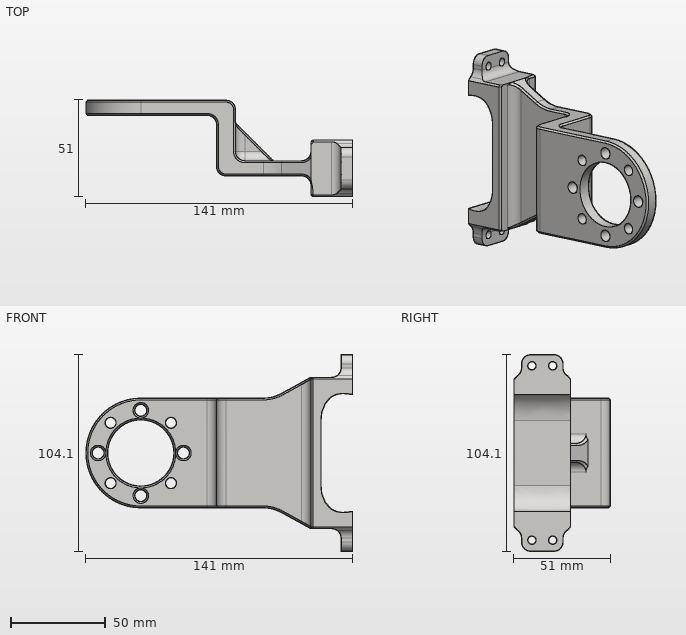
import cadquery as cq
import math


mount_radius = 29.0
plate_thickness = 8.0
web_thickness = 10.0
web_front_x = 40.0
step_depth = 32.0
bend_radius = 5.0
edge_chamfer = 1.0

flare_start_x = 70.0
flare_radius = 20.0

overall_length = 141.0
block_length = 22.0
block_depth = 30.0
block_height = 80.1

bore_radius = 17.5
bolt_circle_radius = 22.5
screw_radius = 3.1
pin_radius = 2.8

recess_depth = 16.6
recess_flat_half = 17.2
recess_shoulder_depth = 14.4
recess_shoulder_half = 26.1
recess_bend_depth = 11.3
recess_bend_half = 29.6
recess_peak_depth = 5.4
recess_peak_half = 31.5
recess_mouth_half = 30.9

ear_thickness = 6.0
ear_width = 22.0
ear_height = 12.0
ear_radius = 5.0
ear_hole_radius = 2.1
ear_hole_spacing = 11.0
ear_hole_from_tip = 5.9

gusset_leg = 20.0
gusset_width = 10.0

end_x = overall_length - mount_radius
block_x = end_x - block_length
web_back_x = web_front_x + web_thickness
lower_back_y = -step_depth
lower_front_y = lower_back_y - plate_thickness
block_mid_y = (lower_back_y + lower_front_y) / 2
block_back_y = block_mid_y + block_depth / 2
block_front_y = block_mid_y - block_depth / 2
block_half = block_height / 2


def extrude_y(outline, y_from, y_to):
    """Extrude an outline drawn in X and Z between two Y positions."""
    return outline.extrude(y_from - y_to).translate((0, y_from, 0))


def make_body():
    """Bent strap and block: the bend profile cut to the face outline, with chamfered rims."""
    bends = (
        cq.Workplane("XY")
        .polyline([
            (-mount_radius, 0), (web_back_x, 0), (web_back_x, lower_back_y), (block_x, lower_back_y),
            (block_x, block_back_y), (end_x, block_back_y), (end_x, block_front_y),
            (block_x, block_front_y), (block_x, lower_front_y), (web_front_x, lower_front_y),
            (web_front_x, -plate_thickness), (-mount_radius, -plate_thickness),
        ])
        .close()
        .extrude(block_half, both=True)
    )
    bend_corners = [
        (web_back_x, 0), (web_back_x, lower_back_y), (block_x, lower_back_y),
        (block_x, lower_front_y), (web_front_x, lower_front_y), (web_front_x, -plate_thickness),
    ]
    for x, y in bend_corners:
        bends = bends.edges(cq.NearestToPointSelector((x, y, 0))).fillet(bend_radius)
    for y in (block_back_y, block_front_y):
        bends = bends.edges(cq.NearestToPointSelector((block_x, y, 0))).chamfer(edge_chamfer)

    face = (
        cq.Workplane("XZ")
        .moveTo(0, mount_radius)
        .lineTo(flare_start_x, mount_radius)
        .lineTo(block_x, block_half)
        .lineTo(end_x, block_half)
        .lineTo(end_x, -block_half)
        .lineTo(block_x, -block_half)
        .lineTo(flare_start_x, -mount_radius)
        .lineTo(0, -mount_radius)
        .threePointArc((-mount_radius, 0), (0, mount_radius))
        .close()
    )
    outline = extrude_y(face, 0, block_front_y)
    for z in (mount_radius, -mount_radius):
        corner = cq.NearestToPointSelector((flare_start_x, block_front_y / 2, z))
        outline = outline.edges(corner).fillet(flare_radius)

    body = bends.intersect(outline)
    rims = body.edges("(not |Z) and (not |Y)")
    for z in (block_half, -block_half):
        rims = rims.add(body.edges(cq.NearestToPointSelector((block_x, block_front_y + bend_radius, z))))
    return rims.chamfer(edge_chamfer)


def make_gusset():
    """Triangular rib in the inside corner, with filleted roots and chamfered sloping edges."""
    blank = (
        cq.Workplane("XY")
        .polyline([
            (web_back_x, lower_back_y),
            (web_back_x + gusset_leg, lower_back_y),
            (web_back_x, lower_back_y + gusset_leg),
        ])
        .close()
        .extrude(gusset_width / 2 + bend_radius, both=True)
    )
    rounded_block = (
        cq.Workplane("XY")
        .box(2 * gusset_leg, 2 * gusset_leg, 2 * gusset_leg, centered=False)
        .edges("<X or <Y or <Z")
        .fillet(bend_radius)
        .translate((web_back_x, lower_back_y, gusset_width / 2))
    )
    gusset = blank.cut(rounded_block).cut(rounded_block.mirror("XY"))
    return gusset.edges(cq.ParallelDirSelector(cq.Vector(1, -1, 0))).chamfer(edge_chamfer)


def round_holes(centres, radius, chamfer):
    """Cutter for holes through the mounting plate, with chamfered front mouths if asked for."""
    cutters = cq.Workplane("XZ").pushPoints(centres).circle(radius).extrude(plate_thickness)
    if chamfer > 0:
        mouth = cq.Solid.makeCone(radius + chamfer, radius, chamfer, dir=cq.Vector(0, 1, 0))
        for x, z in centres:
            cutters = cutters.union(cq.Workplane(mouth.translate(cq.Vector(x, -plate_thickness, z))))
    return cutters


def circle_points(first_angle):
    """Four evenly spaced points on the bolt circle, starting at an angle in degrees."""
    angles = [math.radians(first_angle + 90 * step) for step in range(4)]
    return [(bolt_circle_radius * math.cos(a), bolt_circle_radius * math.sin(a)) for a in angles]


def make_recess():
    """Bowl-shaped opening through the free end of the block."""
    floor_x = end_x - recess_depth
    upper_curve = [
        (end_x - recess_shoulder_depth, recess_shoulder_half),
        (end_x - recess_bend_depth, recess_bend_half),
        (end_x - recess_peak_depth, recess_peak_half),
        (end_x, recess_mouth_half),
    ]
    outline = (
        cq.Workplane("XZ")
        .moveTo(floor_x, 0)
        .lineTo(floor_x, recess_flat_half)
        .spline(upper_curve, includeCurrent=True)
        .lineTo(end_x, 0)
        .mirrorX()
    )
    return extrude_y(outline, block_back_y, block_front_y)


def make_ear():
    """Upper ear: a rounded tab with two holes, flaring into the block top on three sides."""
    tip_z = block_half + ear_height
    ear_x = end_x - ear_thickness
    half_width = ear_width / 2
    diagonal = ear_radius * (1 - math.sqrt(0.5))
    root_z = block_half + ear_radius
    foot_z = block_half - edge_chamfer

    side = (
        cq.Workplane("XZ")
        .moveTo(end_x, foot_z)
        .lineTo(end_x, tip_z)
        .lineTo(ear_x, tip_z)
        .lineTo(ear_x, root_z)
        .threePointArc((ear_x - diagonal, block_half + diagonal), (ear_x - ear_radius, block_half))
        .lineTo(ear_x - ear_radius, foot_z)
        .close()
    )
    chamfer_reach = block_depth / 2 - edge_chamfer - half_width
    coordinate_sum = chamfer_reach - 2 * ear_radius
    coordinate_gap = math.sqrt(2 * ear_radius**2 - coordinate_sum**2)
    flare_width = ear_radius + (coordinate_sum + coordinate_gap) / 2
    flare_half = half_width + flare_width
    flare_z = block_half + chamfer_reach - flare_width
    front = (
        cq.Workplane("YZ")
        .moveTo(-block_depth / 2, foot_z)
        .lineTo(-flare_half, flare_z)
        .radiusArc((-half_width, root_z), -ear_radius)
        .lineTo(-half_width, tip_z)
        .lineTo(half_width, tip_z)
        .lineTo(half_width, root_z)
        .radiusArc((flare_half, flare_z), -ear_radius)
        .lineTo(block_depth / 2, foot_z)
        .close()
        .extrude(end_x)
        .edges("|X and >Z")
        .fillet(ear_radius)
        .translate((0, block_mid_y, 0))
    )
    holes = (
        cq.Workplane("YZ", origin=(0, block_mid_y, tip_z - ear_hole_from_tip))
        .pushPoints([(-ear_hole_spacing / 2, 0), (ear_hole_spacing / 2, 0)])
        .circle(ear_hole_radius)
        .extrude(end_x)
    )
    return extrude_y(side, block_back_y, block_front_y).intersect(front).cut(holes)


ear = make_ear()
result = (
    make_body()
    .union(make_gusset())
    .cut(round_holes([(0, 0)], bore_radius, edge_chamfer))
    .cut(round_holes(circle_points(0), screw_radius, edge_chamfer))
    .cut(round_holes(circle_points(45), pin_radius, 0))
    .cut(make_recess())
    .union(ear)
    .union(ear.mirror("XY"))
)